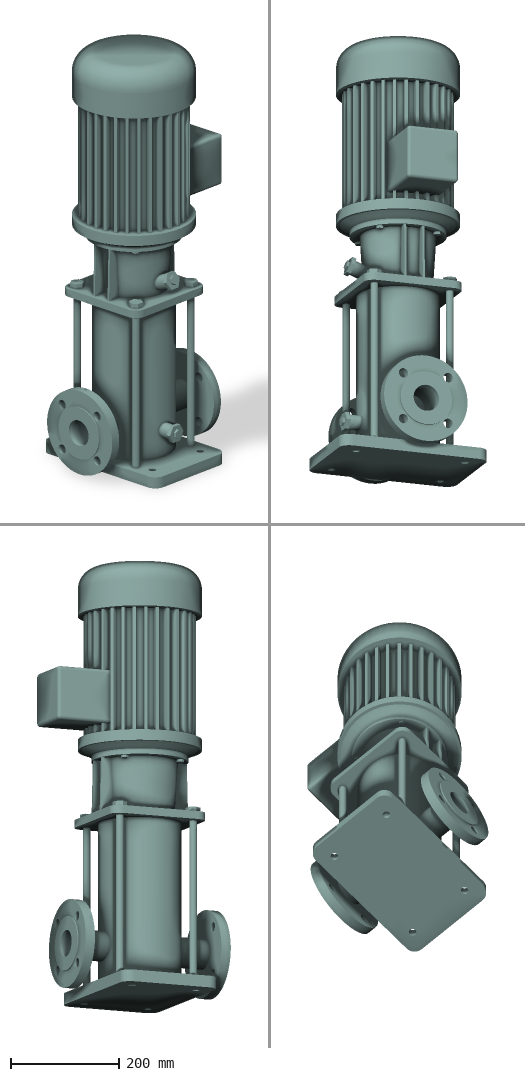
import math

import cadquery as cq

BASE_LENGTH = 290.0
BASE_WIDTH = 192.0
BASE_THICKNESS = 22.0
PLATE_CORNER_RADIUS = 20.0
BASE_HOLE_DIAMETER = 14.0
BASE_HOLE_SPACING_X = 215.0
BASE_HOLE_SPACING_Y = 130.0

BARREL_DIAMETER = 155.0
HEAD_PLATE_SIZE = BASE_WIDTH
HEAD_PLATE_BOTTOM = 325.0
HEAD_PLATE_TOP = 340.0
TIE_ROD_DIAMETER = 14.0
TIE_ROD_SPACING = 149.0
BOLT_HEAD_ACROSS_FLATS = 24.0
BOLT_HEAD_HEIGHT = 9.5

PORT_HEIGHT = 90.0
PORT_FACE_DISTANCE = 150.0
PORT_PIPE_DIAMETER = 57.0
PORT_BORE_DIAMETER = 50.0
PORT_FLANGE_DIAMETER = 165.0
PORT_FLANGE_THICKNESS = 19.0
RAISED_FACE_DIAMETER = 102.0
RAISED_FACE_HEIGHT = 2.5
PORT_HOLE_DIAMETER = 18.0
PORT_HOLE_CIRCLE = 125.0
PORT_HOLE_COUNT = 4

STOOL_TOP = 442.0
STOOL_BOTTOM_DIAMETER = 129.0
STOOL_TOP_DIAMETER = 142.0
STOOL_RIB_THICKNESS = 4.0
STOOL_RIB_OFFSET = 18.0
STOOL_RIB_REACH_BOTTOM = 89.0
STOOL_RIB_REACH_TOP = 86.5
STOOL_BOLT_SPACING = 113.0
STOOL_BOLT_ACROSS_CORNERS = 14.0
STOOL_BOLT_HEIGHT = 5.0

SPIGOT_DIAMETER = 180.0
SPIGOT_TOP = 452.0
CONE_TOP_DIAMETER = 218.0
CONE_TOP = 463.5
MOTOR_DIAMETER = 230.0
MOTOR_FLANGE_TOP = 483.5
COWL_BOTTOM = 716.5
TOTAL_HEIGHT = 807.0
COWL_RADIUS = 40.0
MOTOR_CORE_DIAMETER = 180.0
FIN_TIP_DIAMETER = 208.0
FIN_THICKNESS = 6.0
FIN_COUNT = 30

BOX_SIZE = 100.0
BOX_CENTRE_HEIGHT = 552.0
BOX_END = 188.0
BOX_EDGE_RADIUS = 6.0

PLUG_DIAMETER = 28.0
VENT_TILT = 20.0
VENT_AXIS_HEIGHT = 341.0
VENT_LENGTH = 97.0
DRAIN_HEIGHT = 75.0
DRAIN_LENGTH = 100.0
PLUG_HEAD_ACROSS_FLATS = 32.0
PLUG_HEAD_HEIGHT = 8.0
PLUG_TIP_ACROSS_CORNERS = 18.0
PLUG_TIP_HEIGHT = 5.0


def cylinder(diameter, bottom, top):
    return cq.Workplane("XY", origin=(0, 0, bottom)).circle(diameter / 2).extrude(top - bottom)


def base_plate():
    plate = (
        cq.Workplane("XY")
        .rect(BASE_LENGTH, BASE_WIDTH)
        .extrude(BASE_THICKNESS)
        .edges("|Z")
        .fillet(PLATE_CORNER_RADIUS)
    )
    return (
        plate.faces(">Z")
        .workplane()
        .rect(BASE_HOLE_SPACING_X, BASE_HOLE_SPACING_Y, forConstruction=True)
        .vertices()
        .hole(BASE_HOLE_DIAMETER)
    )


def head_plate():
    return (
        cq.Workplane("XY", origin=(0, 0, HEAD_PLATE_BOTTOM))
        .rect(HEAD_PLATE_SIZE, HEAD_PLATE_SIZE)
        .extrude(HEAD_PLATE_TOP - HEAD_PLATE_BOTTOM)
        .edges("|Z")
        .fillet(PLATE_CORNER_RADIUS)
    )


def tie_rod(side_x, side_y):
    """Tie rod with a hexagon head; head corners point along X on the -X side, along Y on the +X side."""
    x = side_x * TIE_ROD_SPACING / 2
    y = side_y * TIE_ROD_SPACING / 2
    corner_direction = (1, 0, 0) if side_x < 0 else (0, 1, 0)
    rod = cq.Workplane("XY", origin=(x, y, 0)).circle(TIE_ROD_DIAMETER / 2).extrude(HEAD_PLATE_TOP)
    head_plane = cq.Plane(origin=(x, y, HEAD_PLATE_TOP), xDir=corner_direction, normal=(0, 0, 1))
    head_across_corners = BOLT_HEAD_ACROSS_FLATS * 2 / math.sqrt(3)
    head = cq.Workplane(head_plane).polygon(6, head_across_corners).extrude(BOLT_HEAD_HEIGHT)
    return rod.union(head)


def port_plane(distance, side):
    """Plane facing outward along Y; side is -1 or +1."""
    return cq.Workplane(
        cq.Plane(origin=(0, side * distance, PORT_HEIGHT), xDir=(1, 0, 0), normal=(0, side, 0))
    )


def port(side):
    flange_front = PORT_FACE_DISTANCE - RAISED_FACE_HEIGHT
    flange_back = flange_front - PORT_FLANGE_THICKNESS
    pipe = port_plane(0, side).circle(PORT_PIPE_DIAMETER / 2).extrude(flange_back)
    flange = (
        port_plane(flange_back, side)
        .circle(PORT_FLANGE_DIAMETER / 2)
        .extrude(PORT_FLANGE_THICKNESS)
        .faces(">Y" if side > 0 else "<Y")
        .workplane()
        .polarArray(PORT_HOLE_CIRCLE / 2, 180 / PORT_HOLE_COUNT, 360, PORT_HOLE_COUNT)
        .hole(PORT_HOLE_DIAMETER)
    )
    raised_face = (
        port_plane(flange_front, side).circle(RAISED_FACE_DIAMETER / 2).extrude(RAISED_FACE_HEIGHT)
    )
    bore = port_plane(0, side).circle(PORT_BORE_DIAMETER / 2).extrude(PORT_FACE_DISTANCE)
    return pipe.union(flange).union(raised_face).cut(bore)


def motor_stool():
    stool = (
        cq.Workplane("XY", origin=(0, 0, HEAD_PLATE_TOP))
        .circle(STOOL_BOTTOM_DIAMETER / 2)
        .workplane(offset=STOOL_TOP - HEAD_PLATE_TOP)
        .circle(STOOL_TOP_DIAMETER / 2)
        .loft()
    )
    rib_profile = [
        (-STOOL_RIB_REACH_BOTTOM, HEAD_PLATE_TOP),
        (STOOL_RIB_REACH_BOTTOM, HEAD_PLATE_TOP),
        (STOOL_RIB_REACH_TOP, STOOL_TOP),
        (-STOOL_RIB_REACH_TOP, STOOL_TOP),
    ]
    for x in (-STOOL_RIB_OFFSET, STOOL_RIB_OFFSET):
        rib = cq.Workplane("YZ", origin=(x, 0, 0)).polyline(rib_profile).close()
        stool = stool.union(rib.extrude(STOOL_RIB_THICKNESS / 2, both=True))
    bolts = (
        cq.Workplane("XY", origin=(0, 0, STOOL_TOP - STOOL_BOLT_HEIGHT))
        .rect(STOOL_BOLT_SPACING, STOOL_BOLT_SPACING, forConstruction=True)
        .vertices()
        .polygon(6, STOOL_BOLT_ACROSS_CORNERS)
        .extrude(STOOL_BOLT_HEIGHT)
    )
    return stool.union(bolts)


def motor_body():
    spigot_radius = SPIGOT_DIAMETER / 2
    core_radius = MOTOR_CORE_DIAMETER / 2
    motor_radius = MOTOR_DIAMETER / 2
    shoulder = TOTAL_HEIGHT - COWL_RADIUS
    crown_radius = motor_radius - COWL_RADIUS
    arc_shift = COWL_RADIUS * math.sqrt(0.5)
    return (
        cq.Workplane("XZ")
        .moveTo(0, STOOL_TOP)
        .lineTo(spigot_radius, STOOL_TOP)
        .lineTo(spigot_radius, SPIGOT_TOP)
        .lineTo(CONE_TOP_DIAMETER / 2, CONE_TOP)
        .lineTo(motor_radius, CONE_TOP)
        .lineTo(motor_radius, MOTOR_FLANGE_TOP)
        .lineTo(core_radius, MOTOR_FLANGE_TOP)
        .lineTo(core_radius, COWL_BOTTOM)
        .lineTo(motor_radius, COWL_BOTTOM)
        .lineTo(motor_radius, shoulder)
        .threePointArc((crown_radius + arc_shift, shoulder + arc_shift), (crown_radius, TOTAL_HEIGHT))
        .lineTo(0, TOTAL_HEIGHT)
        .close()
        .revolve(360, (0, 0), (0, 1))
    )


def cooling_fins():
    """Radial fins; one of them points along -Y."""
    fin_root = MOTOR_CORE_DIAMETER / 2 - FIN_THICKNESS
    fin_tip = FIN_TIP_DIAMETER / 2
    return (
        cq.Workplane("XY", origin=(0, 0, MOTOR_FLANGE_TOP))
        .polarArray((fin_root + fin_tip) / 2, -90, 360, FIN_COUNT)
        .rect(fin_tip - fin_root, FIN_THICKNESS)
        .extrude(COWL_BOTTOM - MOTOR_FLANGE_TOP)
    )


def terminal_box():
    return (
        cq.Workplane("XZ", origin=(0, 0, BOX_CENTRE_HEIGHT))
        .rect(BOX_SIZE, BOX_SIZE)
        .extrude(-BOX_END)
        .edges("|Y or >Y")
        .fillet(BOX_EDGE_RADIUS)
    )


def screw_plug(axis_height, tilt, length):
    """Stub with a stepped hexagon head, starting on the pump axis and rising toward +X by the tilt angle."""
    direction = cq.Vector(math.cos(math.radians(tilt)), 0, math.sin(math.radians(tilt)))
    across = cq.Vector(0, 1, 0).cross(direction)
    start = cq.Vector(0, 0, axis_height)

    def plane_at(distance):
        origin = start + direction * distance
        return cq.Workplane(cq.Plane(origin=origin, xDir=across, normal=direction))

    stub = plane_at(0).circle(PLUG_DIAMETER / 2).extrude(length)
    head = (
        plane_at(length)
        .polygon(6, PLUG_HEAD_ACROSS_FLATS, circumscribed=True)
        .extrude(PLUG_HEAD_HEIGHT)
    )
    tip = (
        plane_at(length + PLUG_HEAD_HEIGHT)
        .polygon(6, PLUG_TIP_ACROSS_CORNERS)
        .extrude(PLUG_TIP_HEIGHT)
    )
    return stub.union(head).union(tip)


result = (
    base_plate()
    .union(cylinder(BARREL_DIAMETER, BASE_THICKNESS, HEAD_PLATE_BOTTOM))
    .union(head_plate())
    .union(motor_stool())
    .union(motor_body())
    .union(cooling_fins())
    .union(terminal_box())
    .union(port(-1))
    .union(port(1))
    .union(screw_plug(VENT_AXIS_HEIGHT, VENT_TILT, VENT_LENGTH))
    .union(screw_plug(DRAIN_HEIGHT, 0, DRAIN_LENGTH))
)
for side_x in (-1, 1):
    for side_y in (-1, 1):
        result = result.union(tie_rod(side_x, side_y))